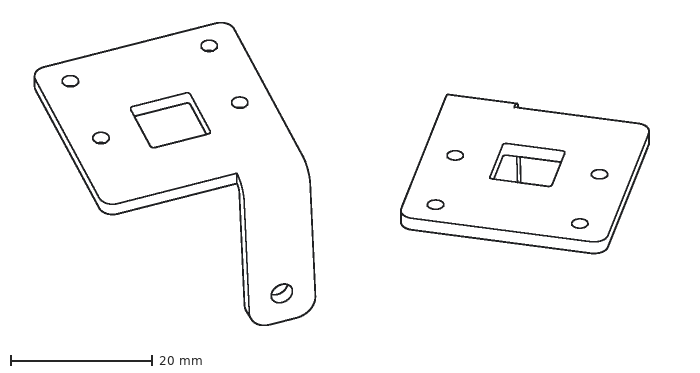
import cadquery as cq
import math

overall_length = 35.4
overall_height = 25.88
plate_width = 30.0

thickness = 2.02
bend_inner_radius = 1.0
bend_outer_radius = bend_inner_radius + thickness
lean_deg = 6.0
lean = math.radians(lean_deg)

tab_width = 10.0
tab_corner_radius = 3.0
tab_hole_diameter = 3.2
tab_hole_from_tip = 5.0
tab_length = (overall_height - bend_outer_radius + bend_inner_radius * math.sin(lean)) / math.cos(lean)
plate_length = (
    overall_length - bend_outer_radius * math.cos(lean) - tab_length * math.sin(lean)
)

plate_corner_radius = 2.02
plate_hole_diameter = 2.3
hole_column_x = 4.05
window_center_x = 16.5
hole_edge_distance = 4.53
window_size = 9.0
window_corner_radius = 0.5


def make_plate():
    """Flat plate with its top at Z = 0, square only at the corner that joins the tab."""
    plate = cq.Workplane("XY").box(plate_length, plate_width, thickness, centered=False)
    plate = plate.translate((0, 0, -thickness))
    plate = plate.edges("|Z and (<X or <Y)").fillet(plate_corner_radius)

    hole_centers = [
        (x, y)
        for x in (hole_column_x, window_center_x)
        for y in (hole_edge_distance, plate_width - hole_edge_distance)
    ]
    holes = (
        cq.Workplane("XY").pushPoints(hole_centers)
        .circle(plate_hole_diameter / 2).extrude(-thickness)
    )
    window = (
        cq.Workplane("XY").center(window_center_x, plate_width / 2)
        .rect(window_size, window_size).extrude(-thickness)
        .edges("|Z").fillet(window_corner_radius)
    )
    return plate.cut(holes).cut(window)


def bend_point(radius, angle):
    """Point (X, Z) around the bend axis, with the angle measured up from +X."""
    return (
        plate_length + radius * math.cos(angle),
        -bend_outer_radius + radius * math.sin(angle),
    )


def make_bend():
    """Rolled strip between the plate edge and the leaning tab."""
    start = math.pi / 2
    middle = (start + lean) / 2
    return (
        cq.Workplane("XZ", origin=(0, plate_width, 0))
        .moveTo(*bend_point(bend_outer_radius, start))
        .threePointArc(bend_point(bend_outer_radius, middle), bend_point(bend_outer_radius, lean))
        .lineTo(*bend_point(bend_inner_radius, lean))
        .threePointArc(bend_point(bend_inner_radius, middle), bend_point(bend_inner_radius, start))
        .close()
        .extrude(tab_width)
    )


def make_tab():
    """Tab with a rounded tip and one hole, made upright at the bend axis and then tilted."""
    tab = (
        cq.Workplane("XY").box(thickness, tab_width, tab_length, centered=(False, True, False))
        .translate((bend_inner_radius, 0, -tab_length))
        .edges("|X and <Z").fillet(tab_corner_radius)
    )
    hole = (
        cq.Workplane("YZ", origin=(bend_inner_radius, 0, tab_hole_from_tip - tab_length))
        .circle(tab_hole_diameter / 2).extrude(thickness)
    )
    tilted = tab.cut(hole).rotate((0, 0, 0), (0, 1, 0), -lean_deg)
    return tilted.translate((plate_length, plate_width - tab_width / 2, -bend_outer_radius))


result = make_plate().union(make_bend()).union(make_tab())